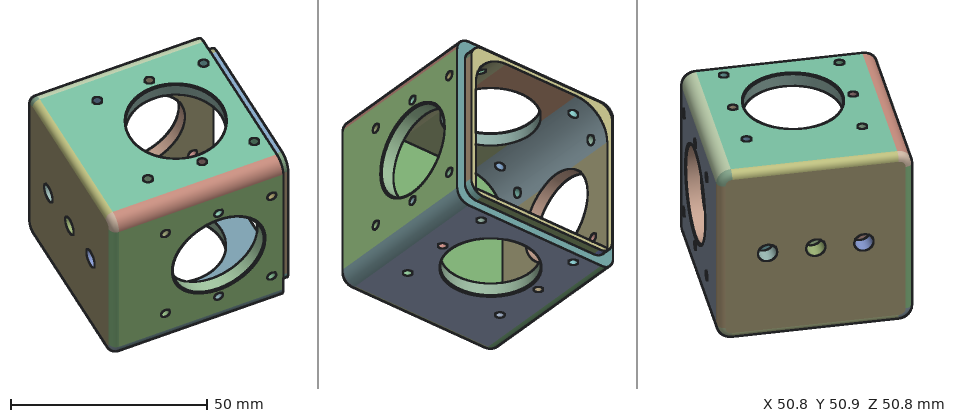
import cadquery as cq

WIDTH = 50.8
LENGTH = 50.86
EDGE_RADIUS = 3.81
FRONT_RADIUS = 2.0

RIM_WIDTH = 45.8
RIM_LENGTH = 2.6

WALL = 4.0
FRONT_WALL = 8.0
CAVITY_RADIUS = 10.0

PORT_Y = 30.0
PORT_DIAMETER = 25.6
CHAMFER_SMALL = 0.22
CHAMFER_LARGE = 0.4
SCREW_PITCH = 30.0
SCREW_DIAMETER = 2.5
PIN_PITCH = 31.2
PIN_DIAMETER = 2.41
PIN_DEPTH = 3.0

FRONT_HOLE_PITCH = 12.5
FRONT_HOLE_DIAMETER = 5.0
FRONT_HOLE_DEPTH = 5.0

HALF_WIDTH = WIDTH / 2
BODY_LENGTH = LENGTH - RIM_LENGTH
CAVITY_WIDTH = WIDTH - 2 * WALL


def square_bar(width, y_start, y_end):
    """Square bar running along Y, centred on the Y axis."""
    length = y_end - y_start
    return cq.Workplane("XY").box(width, length, width).translate((0, y_start + length / 2, 0))


def wall_cuts(chamfer_width, chamfer_depth):
    """Port, screw holes and blind pin holes for the +Z wall."""
    wall = cq.Workplane("XY", origin=(0, PORT_Y, HALF_WIDTH))
    port = wall.circle(PORT_DIAMETER / 2).extrude(-HALF_WIDTH)
    chamfer = cq.Solid.makeCone(
        PORT_DIAMETER / 2 + chamfer_width,
        PORT_DIAMETER / 2,
        chamfer_depth,
        pnt=cq.Vector(0, PORT_Y, HALF_WIDTH),
        dir=cq.Vector(0, 0, -1),
    )
    screws = (
        wall.rect(SCREW_PITCH, SCREW_PITCH, forConstruction=True)
        .vertices()
        .circle(SCREW_DIAMETER / 2)
        .extrude(-HALF_WIDTH)
    )
    pin_centres = [(-PIN_PITCH / 2, 0), (PIN_PITCH / 2, 0)]
    pins = wall.pushPoints(pin_centres).circle(PIN_DIAMETER / 2).extrude(-PIN_DEPTH)
    return port.union(cq.Workplane(chamfer)).union(screws).union(pins)


def front_holes():
    """Row of blind holes along X in the front face."""
    centres = [(step * FRONT_HOLE_PITCH, 0) for step in (-1, 0, 1)]
    return cq.Workplane("XZ").pushPoints(centres).circle(FRONT_HOLE_DIAMETER / 2).extrude(-FRONT_HOLE_DEPTH)


def make_housing():
    """Hollow cube with four ported side walls and a rim at the open back."""
    body = square_bar(WIDTH, 0, BODY_LENGTH).edges("|Y").fillet(EDGE_RADIUS)
    body = body.faces("<Y").edges().fillet(FRONT_RADIUS)
    rim = square_bar(RIM_WIDTH, FRONT_WALL, LENGTH).edges("|Y").fillet(EDGE_RADIUS)
    cavity = square_bar(CAVITY_WIDTH, FRONT_WALL, LENGTH).edges("|Y and >Z").fillet(CAVITY_RADIUS)
    shell = body.union(rim).cut(cavity).cut(front_holes())

    top_cuts = wall_cuts(CHAMFER_SMALL, CHAMFER_LARGE)
    side_cuts = wall_cuts(CHAMFER_LARGE, CHAMFER_SMALL)
    for cuts, start_angle in ((top_cuts, 0), (side_cuts, 90)):
        for angle in (start_angle, start_angle + 180):
            shell = shell.cut(cuts.rotate((0, 0, 0), (0, 1, 0), angle))
    return shell


housing = make_housing()
result = cq.Compound.makeCompound([housing.val()])